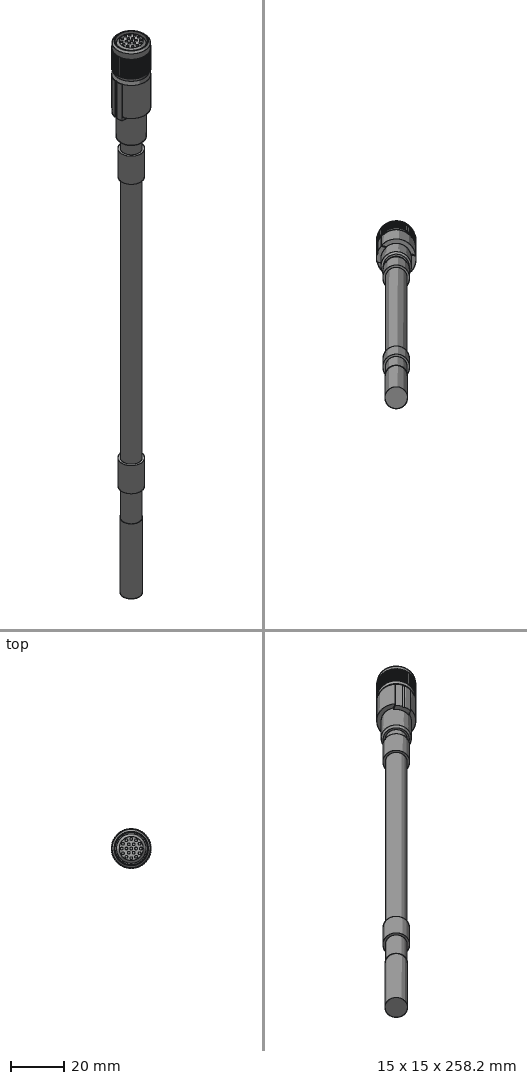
import cadquery as cq
import math

length = 258.2

tail_dia = 8.5
cable_dia = 8.3
ferrule_dia = 10.0
collar_dia = 11.5
collar_tip_dia = 11.4
collar_top_dia = 11.4
sleeve_dia = 14.7
knurl_dia = 15.0
groove_dia = 13.7
band_dia = 14.5

tail_top = 35.0
ferrule_length = 13.2
low_ferrule_bottom = 49.8
high_ferrule_bottom = 194.7
collar_bottom = 212.8
collar_taper_start = 217.0
collar_shoulder = 225.5
sleeve_bottom = 227.2
sleeve_top = 242.7
groove_root = 244.3
knurl_bottom = 245.8
knurl_top = 254.8
collar_chamfer = 0.8
rim_chamfer = 0.8

knurl_count = 48
knurl_depth = 0.3
knurl_half_width = 0.3

panel_width = 6.2
panel_bottom = 225.7

slot_width = 0.8
slot_depth = 0.3

gap_outer_dia = 12.1
insert_dia = 11.0
insert_bevel = 1.0
gap_depth = 5.2
contact_dia = 1.0
contact_depth = 2.5
contact_rings = ((1, 0.0), (6, 1.8), (12, 3.5))


def cylinder(diameter, bottom, top):
    return cq.Workplane("XY").workplane(offset=bottom).circle(diameter / 2).extrude(top - bottom)


def cone(bottom_dia, top_dia, bottom, top):
    return (
        cq.Workplane("XY")
        .workplane(offset=bottom)
        .circle(bottom_dia / 2)
        .workplane(offset=top - bottom)
        .circle(top_dia / 2)
        .loft()
    )


def make_cable():
    cable = cylinder(tail_dia, 0, tail_top)
    cable = cable.union(cylinder(cable_dia, tail_top, collar_taper_start))
    for bottom in (low_ferrule_bottom, high_ferrule_bottom):
        cable = cable.union(cylinder(ferrule_dia, bottom, bottom + ferrule_length))
    return cable


def make_collar():
    tip = cone(collar_tip_dia, collar_dia, collar_bottom, collar_taper_start)
    tip = tip.faces("<Z").chamfer(collar_chamfer)
    body = cylinder(collar_dia, collar_taper_start, collar_shoulder)
    neck = cone(collar_dia, collar_top_dia, collar_shoulder, sleeve_bottom)
    return tip.union(body).union(neck)


def make_sleeve():
    body = cylinder(sleeve_dia, sleeve_bottom, sleeve_top)
    lower_flank = cone(sleeve_dia, groove_dia, sleeve_top, groove_root)
    upper_flank = cone(groove_dia, knurl_dia - 2 * knurl_depth, groove_root, knurl_bottom)
    return body.union(lower_flank).union(upper_flank)


def make_panels():
    ring = cylinder(knurl_dia, panel_bottom, sleeve_top)
    ring = ring.cut(cylinder(collar_top_dia, panel_bottom, sleeve_top))
    strip = (
        cq.Workplane("XY")
        .workplane(offset=panel_bottom)
        .rect(panel_width, knurl_dia)
        .extrude(sleeve_top - panel_bottom)
    )
    return ring.intersect(strip)


def make_index_slot():
    return (
        cq.Workplane("XY")
        .workplane(offset=panel_bottom)
        .center(0, -knurl_dia / 2)
        .rect(slot_width, 2 * slot_depth)
        .extrude(sleeve_top - panel_bottom)
    )


def make_grip():
    radius = knurl_dia / 2
    step = 2 * math.pi / knurl_count
    half_angle = knurl_half_width / radius
    points = []
    for i in range(knurl_count):
        for angle, r in (
            (i * step - half_angle, radius),
            (i * step, radius - knurl_depth),
            (i * step + half_angle, radius),
        ):
            points.append((r * math.cos(angle), r * math.sin(angle)))
    knurl = (
        cq.Workplane("XY")
        .workplane(offset=knurl_bottom)
        .polyline(points)
        .close()
        .extrude(knurl_top - knurl_bottom)
    )
    band = cylinder(band_dia, knurl_top, length).faces(">Z").chamfer(rim_chamfer)
    return knurl.union(band)


def make_ring_gap():
    floor = length - gap_depth
    insert = cylinder(insert_dia, floor, length).faces(">Z").chamfer(insert_bevel)
    return cylinder(gap_outer_dia, floor, length).cut(insert)


def make_contact_holes():
    centres = []
    for count, radius in contact_rings:
        for i in range(count):
            angle = 2 * math.pi * i / count
            centres.append((radius * math.cos(angle), radius * math.sin(angle)))
    return (
        cq.Workplane("XY")
        .workplane(offset=length - contact_depth)
        .pushPoints(centres)
        .circle(contact_dia / 2)
        .extrude(contact_depth)
    )


result = make_cable().union(make_collar())
result = result.union(make_sleeve())
result = result.union(make_panels()).cut(make_index_slot())
result = result.union(make_grip())
result = result.cut(make_ring_gap())
result = result.cut(make_contact_holes())